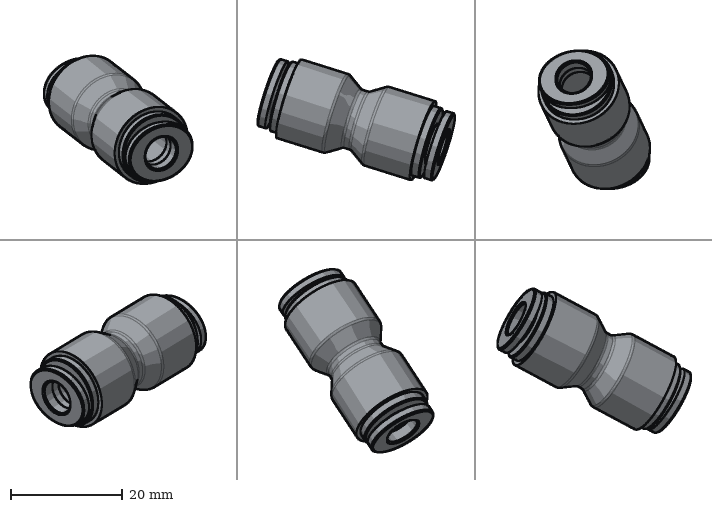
import cadquery as cq


half_length = 16.65
collar_face = 14.32
housing_face = 12.72
shoulder_end = 3.73
waist_half_width = 0.73

housing_diameter = 14.9
waist_diameter = 11.0
collar_diameter = 13.15
neck_diameter = 7.5
bore_diameter = 6.2

flange_width = 13.0
flange_height = 11.0
flange_thickness = 1.53

waist_blend_radius = 0.9
collar_chamfer = 0.2
flange_chamfer = 0.23
neck_fillet = 0.1
mouth_chamfer_depth = 0.25
mouth_chamfer_width = 0.3

flange_back = half_length - flange_thickness
bore_end = shoulder_end
blend_margin = 0.33


def plane_at(x):
    """YZ plane at the given X, with its normal along +X."""
    return cq.Workplane("YZ", origin=(x, 0, 0))


def cylinder(diameter, start, end):
    """Cylinder on the X axis from start to end."""
    return plane_at(start).circle(diameter / 2).extrude(end - start)


def bore(start, end):
    return cylinder(bore_diameter, start, end)


def make_housing():
    """Waisted barrel with a blind tube socket in each end."""
    outer = housing_diameter / 2
    waist = waist_diameter / 2
    barrel = (
        cq.Workplane("XY")
        .moveTo(-housing_face, 0)
        .lineTo(-housing_face, outer)
        .lineTo(-shoulder_end, outer)
        .lineTo(-waist_half_width, waist)
        .lineTo(waist_half_width, waist)
        .lineTo(shoulder_end, outer)
        .lineTo(housing_face, outer)
        .lineTo(housing_face, 0)
        .close()
        .revolve(360, (0, 0, 0), (1, 0, 0))
    )
    blend_zone = cq.selectors.BoxSelector(
        (-shoulder_end - blend_margin, -housing_diameter, -housing_diameter),
        (shoulder_end + blend_margin, housing_diameter, housing_diameter),
    )
    barrel = barrel.edges("%CIRCLE").edges(blend_zone).fillet(waist_blend_radius)
    return barrel.cut(bore(-housing_face, -bore_end)).cut(bore(bore_end, housing_face))


def make_collar():
    """Ring seated on the +X end face of the housing."""
    ring = cylinder(collar_diameter, housing_face, collar_face)
    ring = ring.faces(">X").edges().chamfer(collar_chamfer)
    return ring.cut(bore(housing_face, collar_face))


def make_sleeve():
    """Release sleeve on the +X collar: round neck and oval flange."""
    neck = cylinder(neck_diameter, collar_face, flange_back)
    flange = (
        plane_at(flange_back)
        .ellipse(flange_width / 2, flange_height / 2)
        .extrude(flange_thickness)
        .faces(">X").edges().chamfer(flange_chamfer)
    )
    sleeve = neck.union(flange)
    under_flange = sleeve.faces("<X[1]")
    sleeve = under_flange.edges("%CIRCLE").fillet(neck_fillet)
    sleeve = sleeve.cut(bore(collar_face, half_length))

    bore_radius = bore_diameter / 2
    mouth = (
        cq.Workplane("XY")
        .moveTo(half_length, 0)
        .lineTo(half_length, bore_radius + mouth_chamfer_width)
        .lineTo(half_length - mouth_chamfer_depth, bore_radius)
        .lineTo(half_length - mouth_chamfer_depth, 0)
        .close()
        .revolve(360, (0, 0, 0), (1, 0, 0))
    )
    return sleeve.cut(mouth)


housing = make_housing()

collars = []
sleeves = []
for turn in (0, 180):
    collars.append(make_collar().rotate((0, 0, 0), (0, 0, 1), turn).val())
    sleeves.append(make_sleeve().rotate((0, 0, 0), (0, 0, 1), turn).val())

result = cq.Compound.makeCompound([housing.val(), *collars, *sleeves])